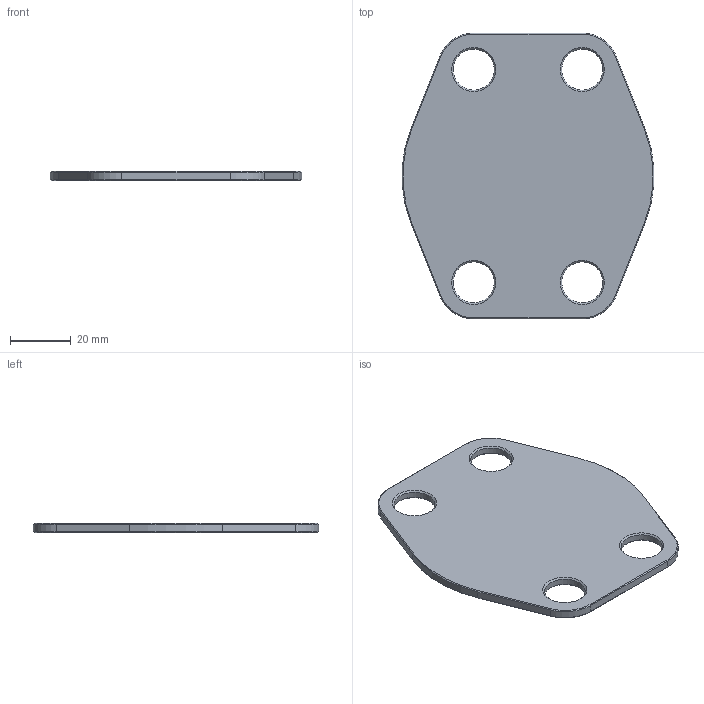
import cadquery as cq
import math

thickness = 3.0
overall_width = 83.0
hole_spacing_x = 35.7
hole_spacing_y = 70.0
hole_diameter = 13.5
corner_radius = 12.0
outline_chamfer = 0.3
hole_chamfer = 0.5

side_radius = overall_width / 2
hole_x = hole_spacing_x / 2
hole_y = hole_spacing_y / 2

hole_distance = math.hypot(hole_x, hole_y)
tangent_angle = math.atan2(hole_y, hole_x) - math.acos((side_radius - corner_radius) / hole_distance)


def corner_point(angle):
    """Point on the +X +Y corner arc at the given angle from +X."""
    return (
        hole_x + corner_radius * math.cos(angle),
        hole_y + corner_radius * math.sin(angle),
    )


def make_outline():
    """Closed plate outline, symmetric about X and Y."""
    side_x = side_radius * math.cos(tangent_angle)
    side_y = side_radius * math.sin(tangent_angle)
    corner_x, corner_y = corner_point(tangent_angle)
    mid_x, mid_y = corner_point((tangent_angle + math.pi / 2) / 2)
    end_y = hole_y + corner_radius
    return (
        cq.Workplane("XY")
        .moveTo(side_x, -side_y)
        .threePointArc((side_radius, 0), (side_x, side_y))
        .lineTo(corner_x, corner_y)
        .threePointArc((mid_x, mid_y), (hole_x, end_y))
        .lineTo(-hole_x, end_y)
        .threePointArc((-mid_x, mid_y), (-corner_x, corner_y))
        .lineTo(-side_x, side_y)
        .threePointArc((-side_radius, 0), (-side_x, -side_y))
        .lineTo(-corner_x, -corner_y)
        .threePointArc((-mid_x, -mid_y), (-hole_x, -end_y))
        .lineTo(hole_x, -end_y)
        .threePointArc((mid_x, -mid_y), (corner_x, -corner_y))
        .close()
    )


def make_hole_cutter():
    """Solid of revolution about Z: a through bore that flares at both faces."""
    bore_radius = hole_diameter / 2
    mouth_radius = bore_radius + hole_chamfer
    return (
        cq.Workplane("XZ")
        .polyline(
            [
                (0, 0),
                (mouth_radius, 0),
                (bore_radius, hole_chamfer),
                (bore_radius, thickness - hole_chamfer),
                (mouth_radius, thickness),
                (0, thickness),
            ]
        )
        .close()
        .revolve(360, (0, 0, 0), (0, 1, 0))
    )


plate = make_outline().extrude(thickness).faces("|Z").edges().chamfer(outline_chamfer)

hole_cutter = make_hole_cutter()
for x in (-hole_x, hole_x):
    for y in (-hole_y, hole_y):
        plate = plate.cut(hole_cutter.translate((x, y, 0)))

result = plate